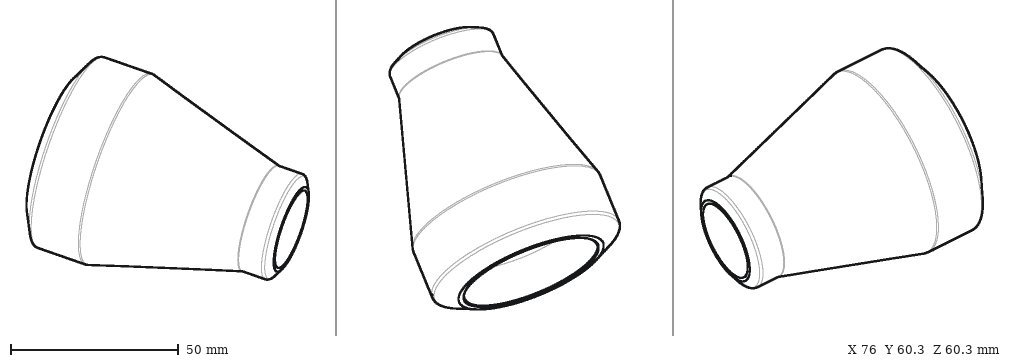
import cadquery as cq
import math

length = 76.0
large_diameter = 60.3
small_diameter = 33.4
large_bore = 42.7
small_bore = 24.4

large_end_length = 20.15
small_end_length = 10.0

large_bore_depth = 12.3

large_land_width = 1.6
small_land_width = 1.15
bevel_angle = 30.0

bevel_edge_radius = 1.0
large_shoulder_radius = 2.0
small_shoulder_radius = 1.0

mouth_chamfer = 0.3

large_radius = large_diameter / 2
small_radius = small_diameter / 2
large_bore_radius = large_bore / 2
small_bore_radius = small_bore / 2
bore_mouth_radius = large_bore_radius + mouth_chamfer
large_land_radius = bore_mouth_radius + large_land_width
small_land_radius = small_bore_radius + small_land_width
cone_start = large_end_length
cone_end = length - small_end_length

bevel_slope = math.tan(math.radians(bevel_angle))
large_bevel_depth = (large_radius - large_land_radius) * bevel_slope
small_bevel_depth = (small_radius - small_land_radius) * bevel_slope
small_bevel_start = length - small_bevel_depth


def revolve_about_axis(points):
    """Solid of revolution about X from (axial position, radius) points."""
    return cq.Workplane("XY").polyline(points).close().revolve(360, (0, 0, 0), (1, 0, 0))


def round_circle(body, position, radius, fillet_radius):
    """Fillet the circular edge of the given radius at an axial position."""
    half_box = 0.1
    reach = radius + half_box
    edge_region = cq.selectors.BoxSelector(
        (position - half_box, -reach, -reach),
        (position + half_box, reach, reach),
        boundingbox=True,
    )
    return body.edges("%CIRCLE").edges(edge_region).fillet(fillet_radius)


outer_body = revolve_about_axis([
    (0, 0),
    (0, large_land_radius),
    (large_bevel_depth, large_radius),
    (cone_start, large_radius),
    (cone_end, small_radius),
    (small_bevel_start, small_radius),
    (length, small_land_radius),
    (length, 0),
])
outer_body = round_circle(outer_body, large_bevel_depth, large_radius, bevel_edge_radius)
outer_body = round_circle(outer_body, cone_start, large_radius, large_shoulder_radius)
outer_body = round_circle(outer_body, cone_end, small_radius, small_shoulder_radius)
outer_body = round_circle(outer_body, small_bevel_start, small_radius, bevel_edge_radius)

bore = revolve_about_axis([
    (0, 0),
    (0, bore_mouth_radius),
    (mouth_chamfer, large_bore_radius),
    (large_bore_depth, large_bore_radius),
    (cone_end, small_bore_radius),
    (length, small_bore_radius),
    (length, 0),
])

result = outer_body.cut(bore)